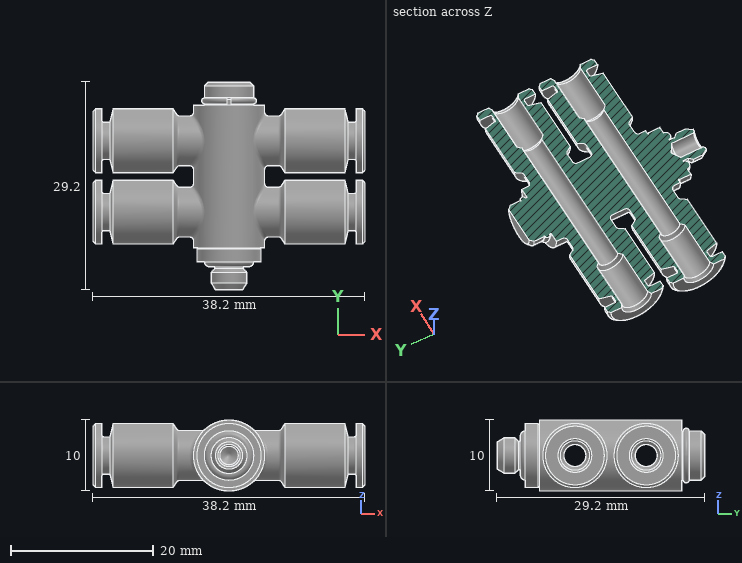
import cadquery as cq
import math

BODY_RADIUS = 5.0
BODY_LENGTH = 20.0
BODY_END = BODY_LENGTH / 2

ARM_REACH = 19.1
ARM_Y = BODY_LENGTH / 4
TUBE_RADIUS = 3.5
TUBE_END_X = 6.95
TUBE_BODY_FILLET = 0.5
TUBE_SLEEVE_FILLET = 0.45
SLEEVE_RADIUS = 4.5
SLEEVE_TAPER_ANGLE = 57.0
SLEEVE_OUTER_X = 16.27
SLEEVE_OUTER_TAPER = 0.45
COLLAR_NECK_RADIUS = 2.65
COLLAR_RADIUS = SLEEVE_RADIUS
COLLAR_THICKNESS = 1.25
COLLAR_CHAMFER = 0.4
COLLAR_FILLET = 0.23

BORE_RADIUS = 1.53
PORT_RADIUS = 2.05
PORT_DEPTH = 7.65
PORT_TAPER = PORT_RADIUS - BORE_RADIUS
MOUTH_RADIUS = 2.35
MOUTH_DEPTH = 0.57

PLUG_RADIUS = 3.48
PLUG_LENGTH = 3.25
PLUG_CHAMFER = 0.55
GROOVE_OFFSET = 0.8
GROOVE_WIDTH = 0.25
GROOVE_DEPTH = 0.1
RING_OFFSET = 0.6
RING_OUTER_RADIUS = 3.85
RING_WIRE_RADIUS = 0.42
RING_GAP = 0.55

FLANGE_RADIUS = 4.5
FLANGE_LENGTH = 2.0
FLANGE_CHAMFER = 0.15
SEAL_OUTER_RADIUS = 3.48
SEAL_WIRE_RADIUS = 0.73
SEAL_OFFSET = 1.95
STUD_LENGTH = 5.92
STUD_RADIUS = 2.52
STUD_NECK_RADIUS = 2.02
STUD_NECK_OFFSET = 2.95
STUD_NOSE_LENGTH = 1.0
STUD_NOSE_RADIUS = 1.9

DRILL_RADIUS = 1.3
DRILL_DEPTH = 3.82
DRILL_POINT_ANGLE = 118.0
DRILL_CHAMFER = 0.25


def turn_about_x(points):
    """Solid turned around the X axis from (x, radius) points."""
    return cq.Workplane("XY").polyline(points).close().revolve(360, (0, 0), (1, 0))


def turn_about_y(points):
    """Solid turned around the Y axis from (radius, y) points."""
    return cq.Workplane("XY").polyline(points).close().revolve(360, (0, 0), (0, 1))


def ring_about_y(outer_radius, wire_radius, y):
    """Round-section ring around the Y axis, with its seam on the inside."""
    section_radius = outer_radius - wire_radius
    section_plane = cq.Plane(origin=(section_radius, y, 0), xDir=(-1, 0, 0), normal=(0, 0, 1))
    section = cq.Workplane(section_plane).circle(wire_radius)
    return section.revolve(360, (section_radius, 0), (section_radius, 1))


def make_body_with_tubes():
    """Body crossed by two plain tubes, with fillets where they meet."""
    body = cq.Workplane("XZ", origin=(0, BODY_END, 0)).circle(BODY_RADIUS).extrude(BODY_LENGTH)
    for y in (-ARM_Y, ARM_Y):
        tube_start = cq.Workplane("YZ", origin=(-TUBE_END_X, y, 0))
        body = body.union(tube_start.circle(TUBE_RADIUS).extrude(2 * TUBE_END_X))
    return body.edges("%BSPLINE").fillet(TUBE_BODY_FILLET)


def make_sleeve():
    """Sleeve of the +X arm, blended into the tube by an arc at its inner taper."""
    taper_angle = math.radians(SLEEVE_TAPER_ANGLE)
    tangent_length = TUBE_SLEEVE_FILLET * math.tan(taper_angle / 2)
    taper_start_x = TUBE_END_X + tangent_length
    taper_end = (
        taper_start_x + tangent_length * math.cos(taper_angle),
        TUBE_RADIUS + tangent_length * math.sin(taper_angle),
    )
    sleeve_inner_x = taper_start_x + (SLEEVE_RADIUS - TUBE_RADIUS) / math.tan(taper_angle)
    sleeve = (
        cq.Workplane("XY")
        .moveTo(TUBE_END_X, 0)
        .lineTo(TUBE_END_X, TUBE_RADIUS)
        .radiusArc(taper_end, -TUBE_SLEEVE_FILLET)
        .lineTo(sleeve_inner_x, SLEEVE_RADIUS)
        .lineTo(SLEEVE_OUTER_X, SLEEVE_RADIUS)
        .lineTo(SLEEVE_OUTER_X + SLEEVE_OUTER_TAPER, COLLAR_NECK_RADIUS)
        .lineTo(SLEEVE_OUTER_X + SLEEVE_OUTER_TAPER, 0)
        .close()
    )
    return sleeve.revolve(360, (0, 0), (1, 0))


def make_collar():
    """Release collar of the +X arm with the neck that runs into the sleeve."""
    collar_x = ARM_REACH - COLLAR_THICKNESS
    neck_and_collar = (
        cq.Workplane("XY")
        .moveTo(SLEEVE_OUTER_X, 0)
        .lineTo(SLEEVE_OUTER_X, COLLAR_NECK_RADIUS)
        .lineTo(collar_x - COLLAR_FILLET, COLLAR_NECK_RADIUS)
        .radiusArc((collar_x, COLLAR_NECK_RADIUS + COLLAR_FILLET), -COLLAR_FILLET)
        .lineTo(collar_x, COLLAR_RADIUS)
        .lineTo(ARM_REACH - COLLAR_CHAMFER, COLLAR_RADIUS)
        .lineTo(ARM_REACH, COLLAR_RADIUS - COLLAR_CHAMFER)
        .lineTo(ARM_REACH, 0)
        .close()
    )
    return neck_and_collar.revolve(360, (0, 0), (1, 0))


def make_port():
    """Cutter for the bore of the +X arm, from the body axis to the mouth."""
    port_end_x = ARM_REACH - PORT_DEPTH
    return turn_about_x([
        (0, 0),
        (0, BORE_RADIUS),
        (port_end_x - PORT_TAPER, BORE_RADIUS),
        (port_end_x, PORT_RADIUS),
        (ARM_REACH - MOUTH_DEPTH, PORT_RADIUS),
        (ARM_REACH, MOUTH_RADIUS),
        (ARM_REACH, 0),
    ])


def make_plug():
    """Chamfered plug with its groove and split ring; the ring opens toward +Z."""
    plug_end = BODY_END + PLUG_LENGTH
    groove_start = BODY_END + GROOVE_OFFSET
    groove_end = groove_start + GROOVE_WIDTH
    groove_radius = PLUG_RADIUS - GROOVE_DEPTH
    plug = turn_about_y([
        (0, BODY_END),
        (PLUG_RADIUS, BODY_END),
        (PLUG_RADIUS, groove_start),
        (groove_radius, groove_start),
        (groove_radius, groove_end),
        (PLUG_RADIUS, groove_end),
        (PLUG_RADIUS, plug_end - PLUG_CHAMFER),
        (PLUG_RADIUS - PLUG_CHAMFER, plug_end),
        (0, plug_end),
    ])
    ring_y = BODY_END + RING_OFFSET
    gap_cutter = (
        cq.Workplane("XY")
        .center(0, ring_y)
        .rect(RING_GAP, 4 * RING_WIRE_RADIUS)
        .extrude(2 * RING_OUTER_RADIUS)
    )
    ring = ring_about_y(RING_OUTER_RADIUS, RING_WIRE_RADIUS, ring_y).cut(gap_cutter)
    return plug.union(ring)


def make_stud():
    """Flange, sealing ring and necked stud."""
    flange_face = -BODY_END - FLANGE_LENGTH
    neck_end = -BODY_END - STUD_NECK_OFFSET
    stud_end = -BODY_END - STUD_LENGTH
    stud = turn_about_y([
        (0, -BODY_END),
        (FLANGE_RADIUS - FLANGE_CHAMFER, -BODY_END),
        (FLANGE_RADIUS, -BODY_END - FLANGE_CHAMFER),
        (FLANGE_RADIUS, flange_face),
        (STUD_NECK_RADIUS, flange_face),
        (STUD_NECK_RADIUS, neck_end),
        (STUD_RADIUS, neck_end - (STUD_RADIUS - STUD_NECK_RADIUS)),
        (STUD_RADIUS, stud_end + STUD_NOSE_LENGTH),
        (STUD_NOSE_RADIUS, stud_end),
        (0, stud_end),
    ])
    return stud.union(ring_about_y(SEAL_OUTER_RADIUS, SEAL_WIRE_RADIUS, -BODY_END - SEAL_OFFSET))


def make_drilled_hole():
    """Cutter for the chamfered blind hole with a conical bottom."""
    stud_end = -BODY_END - STUD_LENGTH
    hole_bottom = stud_end + DRILL_DEPTH
    point_length = DRILL_RADIUS / math.tan(math.radians(DRILL_POINT_ANGLE / 2))
    return turn_about_y([
        (0, stud_end),
        (DRILL_RADIUS + DRILL_CHAMFER, stud_end),
        (DRILL_RADIUS, stud_end + DRILL_CHAMFER),
        (DRILL_RADIUS, hole_bottom),
        (0, hole_bottom + point_length),
    ])


def on_every_arm(shape):
    """Copies of a +X arm shape at all four arm positions."""
    opposite = shape.mirror("YZ")
    return [side.translate((0, y, 0)) for side in (shape, opposite) for y in (-ARM_Y, ARM_Y)]


part = make_body_with_tubes().union(make_plug()).union(make_stud())

arm_head = make_sleeve().union(make_collar())
for head in on_every_arm(arm_head):
    part = part.union(head)

for port in on_every_arm(make_port()):
    part = part.cut(port)

result = part.cut(make_drilled_hole())